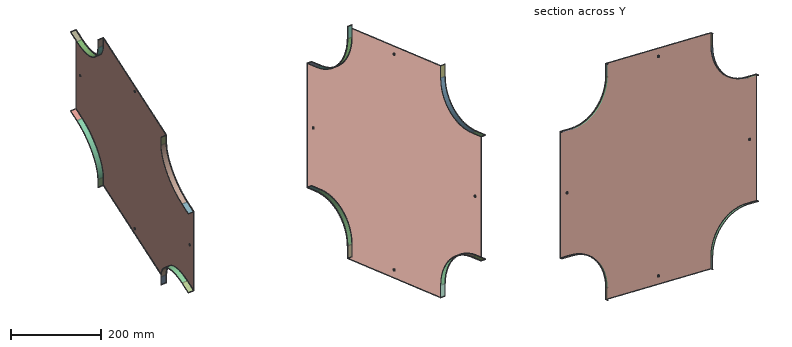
import cadquery as cq

overall_size = 562.0
overall_depth = 14.0
sheet_thickness = 1.0
arm_width = 302.0
corner_radius = 100.0
hole_diameter = 5.0
hole_edge_distance = 19.5

half_size = overall_size / 2
half_arm = arm_width / 2
hole_offset = half_size - hole_edge_distance
back_y = overall_depth / 2
quarter_turns = (0, 90, 180, 270)


def cross_prism(inset, depth):
    """Cross with concave corners, its cut edges moved inward by inset, running forward from the back face."""
    edge = half_arm - inset
    radius = corner_radius + inset
    arc_center = edge + radius
    arc_middle = arc_center - radius / 2**0.5
    corner = (
        cq.Workplane("XZ", origin=(0, back_y, 0))
        .moveTo(edge, half_size)
        .lineTo(edge, arc_center)
        .threePointArc((arc_middle, arc_middle), (arc_center, edge))
        .lineTo(half_size, edge)
        .lineTo(half_size, half_size)
        .close()
        .extrude(depth)
    )
    body = cq.Workplane("XZ", origin=(0, back_y, 0)).rect(overall_size, overall_size).extrude(depth)
    for angle in quarter_turns:
        body = body.cut(corner.rotate((0, 0, 0), (0, 1, 0), angle))
    return body


plate = cross_prism(0, sheet_thickness)
flanges = cross_prism(0, overall_depth).cut(cross_prism(sheet_thickness, overall_depth))

holes = (
    cq.Workplane("XZ", origin=(0, back_y, 0))
    .polarArray(hole_offset, 0, 360, len(quarter_turns))
    .circle(hole_diameter / 2)
    .extrude(sheet_thickness)
)

result = plate.union(flanges).cut(holes)